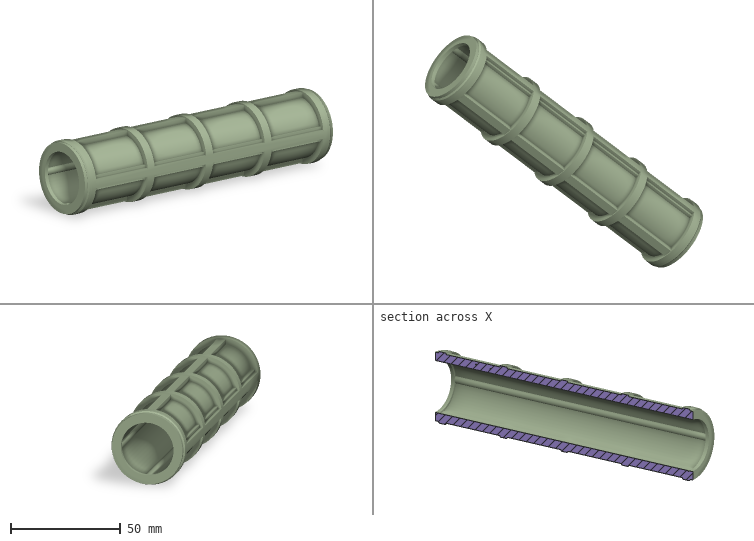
import cadquery as cq

length = 146.0
half_length = length / 2

tube_radius = 28.8 / 2
inner_radius = 13.5

collar_length = 6.1
collar_radius = 34.8 / 2
nose_radius = 16.6
nose_length = 1.6
shoulder_radius = 16.8
shoulder_chamfer = collar_radius - shoulder_radius
land_end = 3.7
mouth_radius = 24.8 / 2
mouth_length = 1.9

hoop_radius = 34.6 / 2
hoop_width = 4.1
hoop_pitch = 34.5
hoop_count = 3

rib_width = 4.1
top_rib_height = 16.6
side_base_width = 6.7
side_base_reach = 15.6

ridge_count = 4
ridge_radius = 2.0
ridge_inner_reach = mouth_radius


def cylinder(radius, y_start, y_end):
    """Solid cylinder on the Y axis between two Y positions."""
    return cq.Workplane("XZ", origin=(0, y_end, 0)).circle(radius).extrude(y_end - y_start)


def end_collar():
    """Collar at the -Y end, with a nose, a chamfered shoulder and a slightly tapered skirt."""
    profile = [
        (0, 0),
        (nose_radius, 0),
        (nose_radius, nose_length),
        (shoulder_radius, nose_length),
        (collar_radius, nose_length + shoulder_chamfer),
        (collar_radius, land_end),
        (hoop_radius, collar_length),
        (0, collar_length),
    ]
    collar = cq.Workplane("XY").polyline(profile).close().revolve(360, (0, 0), (0, 1))
    return collar.translate((0, -half_length, 0))


def lengthwise_ribs():
    """Flat ribs at +Z and -Z, and stepped ribs at +X and -X whose crests follow the hoops."""
    rib_length = length - 2 * collar_length
    top_ribs = cq.Workplane("XY").box(rib_width, rib_length, 2 * top_rib_height)
    side_bases = cq.Workplane("XY").box(2 * side_base_reach, rib_length, side_base_width)
    side_ribs = cq.Workplane("XY").box(2 * hoop_radius, rib_length, rib_width)
    side_ribs = side_ribs.intersect(cylinder(hoop_radius, -half_length, half_length))
    return top_ribs.union(side_bases).union(side_ribs)


def bore():
    """Inner chamber with rounded ridges along its wall, open through narrower mouths."""
    chamber_end = half_length - mouth_length
    chamber = cylinder(inner_radius, -chamber_end, chamber_end)
    ridge = cylinder(ridge_radius, -half_length, half_length)
    ridge = ridge.translate((ridge_inner_reach + ridge_radius, 0, 0))
    for index in range(ridge_count):
        chamber = chamber.cut(ridge.rotate((0, 0, 0), (0, 1, 0), index * 360 / ridge_count))
    return chamber.union(cylinder(mouth_radius, -half_length, half_length))


body = cylinder(tube_radius, -half_length + nose_length, half_length - nose_length)
body = body.union(lengthwise_ribs())

for index in range(hoop_count):
    hoop_center = (index - (hoop_count - 1) / 2) * hoop_pitch
    body = body.union(cylinder(hoop_radius, hoop_center - hoop_width / 2, hoop_center + hoop_width / 2))

front_collar = end_collar()
body = body.union(front_collar).union(front_collar.mirror("XZ"))

result = body.cut(bore())